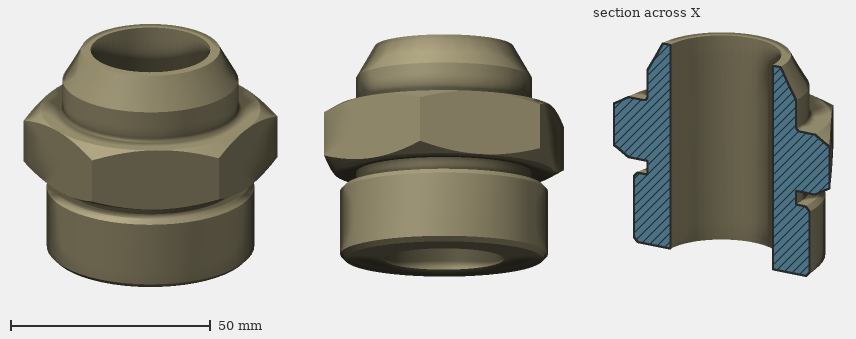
import cadquery as cq
import math

thread_top = 18.5
hex_bottom = 22.0
hex_top = 38.0
cone_bottom = 46.0
total_height = 54.0

thread_diameter = 52.0
neck_diameter = 44.0
bore_diameter = 30.0

hex_across_corners = 63.5
hex_across_flats = hex_across_corners * math.cos(math.radians(30))

thread_chamfer = 1.2
weld_cone_angle = 30.0
hex_chamfer_angle = 30.0
root_fillet = 0.95


def cylinder(diameter, bottom, top):
    """Solid cylinder on the Z axis between two heights."""
    return cq.Workplane("XY").workplane(offset=bottom).circle(diameter / 2).extrude(top - bottom)


def threaded_end():
    """Plain cylinder in place of the thread, chamfered at both ends."""
    return cylinder(thread_diameter, 0, thread_top).faces("<Z or >Z").chamfer(thread_chamfer)


def hexagon():
    """Hexagon whose corners are cut by a cone on each end face."""
    height = hex_top - hex_bottom
    prism = (
        cq.Workplane("XY")
        .workplane(offset=hex_bottom)
        .transformed(rotate=(0, 0, 90))
        .polygon(6, hex_across_corners)
        .extrude(height)
    )
    flat_radius = hex_across_flats / 2
    corner_radius = hex_across_corners / 2
    drop = (corner_radius - flat_radius) * math.tan(math.radians(hex_chamfer_angle))
    envelope = (
        cq.Workplane("XZ")
        .moveTo(0, hex_bottom)
        .lineTo(flat_radius, hex_bottom)
        .lineTo(corner_radius, hex_bottom + drop)
        .lineTo(corner_radius, hex_top - drop)
        .lineTo(flat_radius, hex_top)
        .lineTo(0, hex_top)
        .close()
        .revolve(360, (0, 0, 0), (0, 1, 0))
    )
    return prism.intersect(envelope)


def weld_end():
    """Upper spigot with a concave root fillet and a conical tip."""
    radius = neck_diameter / 2
    tip_radius = radius - (total_height - cone_bottom) * math.tan(math.radians(weld_cone_angle))
    diagonal = root_fillet * (1 - math.sqrt(0.5))
    return (
        cq.Workplane("XZ")
        .moveTo(0, hex_top)
        .lineTo(radius + root_fillet, hex_top)
        .threePointArc((radius + diagonal, hex_top + diagonal), (radius, hex_top + root_fillet))
        .lineTo(radius, cone_bottom)
        .lineTo(tip_radius, total_height)
        .lineTo(0, total_height)
        .close()
        .revolve(360, (0, 0, 0), (0, 1, 0))
    )


undercut_neck = cylinder(neck_diameter, thread_top, hex_bottom)
bore = cylinder(bore_diameter, 0, total_height)

result = threaded_end().union(undercut_neck).union(hexagon()).union(weld_end()).cut(bore)